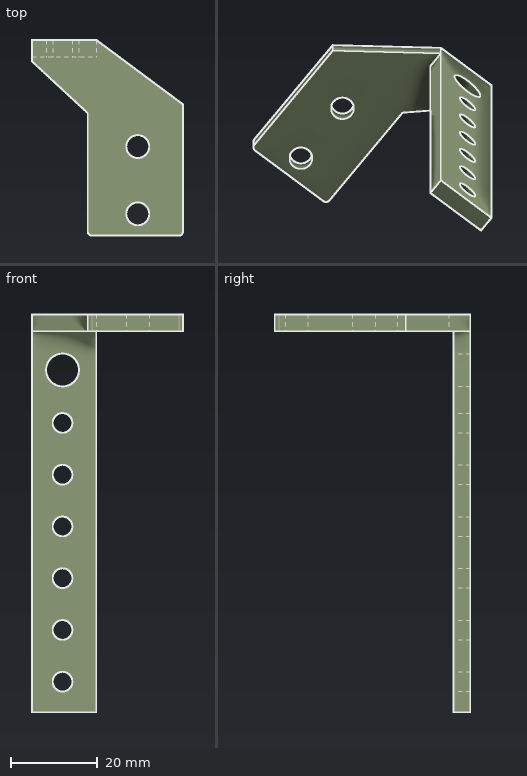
import cadquery as cq

length_x = 35.0
depth_y = 45.3
height = 92.0
thickness = 4.0

strip_width = 14.9
strip_hole_x = 7.1
large_hole_diameter = 7.5
large_hole_drop = 12.9
small_hole_diameter = 4.5
small_hole_count = 6
small_hole_pitch = 12.0
lowest_hole_height = 7.1

pad_width = 22.1
pad_left_x = length_x - pad_width
neck_left_start = 5.0
neck_left_end = 16.9
neck_right_end = 14.9
pad_corner_radius = 1.0
pad_hole_diameter = 5.2
pad_hole_x = 24.5
pad_hole_depths = (24.7, 40.2)


def make_strip():
    """Upright strip with one large hole above a row of small holes."""
    strip = cq.Workplane("XY").box(strip_width, thickness, height, centered=False)
    strip = strip.translate((0, -thickness, -height))
    small_holes = [
        (strip_hole_x, -height + lowest_hole_height + i * small_hole_pitch)
        for i in range(small_hole_count)
    ]
    cutters = (
        cq.Workplane("XZ")
        .pushPoints(small_holes)
        .circle(small_hole_diameter / 2)
        .extrude(thickness)
    )
    large_cutter = (
        cq.Workplane("XZ")
        .center(strip_hole_x, -large_hole_drop)
        .circle(large_hole_diameter / 2)
        .extrude(thickness)
    )
    return strip.cut(cutters).cut(large_cutter)


def make_arm():
    """Flat arm offset sideways from the strip, with two mounting holes."""
    outline = [
        (0, 0),
        (strip_width, 0),
        (length_x, -neck_right_end),
        (length_x, -depth_y),
        (pad_left_x, -depth_y),
        (pad_left_x, -neck_left_end),
        (0, -neck_left_start),
    ]
    arm = cq.Workplane("XY").polyline(outline).close().extrude(-thickness)
    arm = arm.faces("<Y").edges("|Z").fillet(pad_corner_radius)
    cutters = (
        cq.Workplane("XY")
        .pushPoints([(pad_hole_x, -depth) for depth in pad_hole_depths])
        .circle(pad_hole_diameter / 2)
        .extrude(-thickness)
    )
    return arm.cut(cutters)


result = make_strip().union(make_arm())